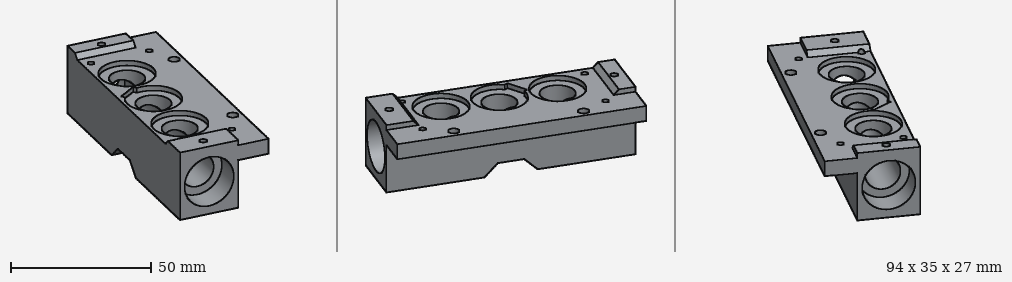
import cadquery as cq

length = 94.0
height = 27.0
block_depth = 23.0
overall_depth = 35.0
center_x = length / 2
center_y = block_depth / 2

pad_height = 2.0
deck_z = height - pad_height
left_pad_length = 6.3
right_pad_length = 10.15
flange_thickness = 6.0

relief_height = 4.9
relief_top_width = 10.0
relief_bottom_width = 20.1

bore_z = 13.0
bore_diameter = 13.0
end_bore_diameter = 19.5
end_bore_depth = 10.0

port_x = 47.5
port_pitch = 22.0
port_diameter = 13.0
pocket_diameter = 20.5
pocket_depth = 2.0

key_width = 8.65
key_reach = 10.8
key_angle = 215.0

screw_diameter = 2.4
screw_spacing_x = 69.0
screw_spacing_y = 23.0
screw_front_y = 3.4
mount_diameter = 4.0
mount_spacing = 49.0
mount_y = 31.5
pad_hole_diameter = 2.8
left_pad_hole_inset = 4.1
right_pad_hole_inset = 5.0
pad_hole_depth = 3.0


def vertical_hole(x, y, diameter, top_z, depth):
    """Cylinder going down from top_z."""
    return cq.Workplane("XY", origin=(x, y, top_z)).circle(diameter / 2).extrude(-depth)


def end_bore(x, depth):
    """Cylinder on the bore axis starting at x."""
    return cq.Workplane("YZ", origin=(x, center_y, bore_z)).circle(end_bore_diameter / 2).extrude(depth)


relief_left = center_x - relief_bottom_width / 2
relief_right = center_x + relief_bottom_width / 2
profile = [
    (0, 0),
    (relief_left, 0),
    (center_x - relief_top_width / 2, relief_height),
    (center_x + relief_top_width / 2, relief_height),
    (relief_right, 0),
    (length, 0),
    (length, height),
    (length - right_pad_length, height),
    (length - right_pad_length - pad_height, deck_z),
    (left_pad_length + pad_height, deck_z),
    (left_pad_length, height),
    (0, height),
]
block = cq.Workplane("XZ").polyline(profile).close().extrude(-block_depth)

flange = cq.Workplane("XY", origin=(0, block_depth, deck_z - flange_thickness)).box(
    length, overall_depth - block_depth, flange_thickness, centered=False
)
result = block.union(flange)

bore = cq.Workplane("YZ", origin=(0, center_y, bore_z)).circle(bore_diameter / 2).extrude(length)
result = result.cut(bore)
result = result.cut(end_bore(0, end_bore_depth))
result = result.cut(end_bore(length, -end_bore_depth))

for step in (-1, 0, 1):
    x = port_x + step * port_pitch
    result = result.cut(vertical_hole(x, center_y, pocket_diameter, deck_z, pocket_depth))
    result = result.cut(vertical_hole(x, center_y, port_diameter, deck_z, deck_z - bore_z))

key = (
    cq.Workplane("XY")
    .box(key_reach, key_width, pocket_depth, centered=(False, True, False))
    .rotate((0, 0, 0), (0, 0, 1), key_angle)
    .translate((port_x, center_y, deck_z - pocket_depth))
)
result = result.cut(key)

for side in (-1, 1):
    x = center_x + side * screw_spacing_x / 2
    for y in (screw_front_y, screw_front_y + screw_spacing_y):
        result = result.cut(vertical_hole(x, y, screw_diameter, height, height))
    x = center_x + side * mount_spacing / 2
    result = result.cut(vertical_hole(x, mount_y, mount_diameter, height, height))

for x in (left_pad_hole_inset, length - right_pad_hole_inset):
    result = result.cut(vertical_hole(x, center_y, pad_hole_diameter, height, pad_hole_depth))